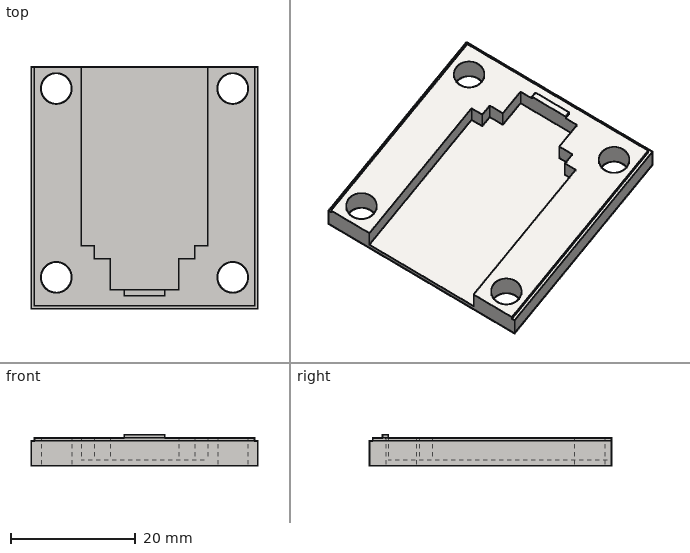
import cadquery as cq

width = 36.3
length = 38.8
base_height = 4.0
step = 0.5
face_height = base_height + step
front_y = -length / 2
back_y = length / 2

floor_thickness = 1.0
pocket_steps = [(20.35, 10.1), (16.15, 8.0), (11.0, 3.03)]

tab_width = 6.55
tab_depth = 0.97

hole_diameter = 4.9
hole_spacing_x = 28.3
front_hole_offset = 5.05
hole_spacing_y = 30.25


def block(block_width, start_y, end_y, bottom, top):
    """Box centred on X, spanning the given Y and Z ranges."""
    size_y = end_y - start_y
    return (
        cq.Workplane("XY")
        .box(block_width, size_y, top - bottom, centered=(True, False, False))
        .translate((0, start_y, bottom))
    )


result = block(width, front_y, back_y, 0, base_height)
result = result.union(block(width - 2 * step, front_y + step, back_y, base_height, face_height))

for pocket_width, wall_offset in pocket_steps:
    wall_y = front_y + wall_offset
    result = result.cut(block(pocket_width, wall_y, back_y, floor_thickness, face_height))

tab_back_y = front_y + pocket_steps[-1][1]
result = result.union(block(tab_width, tab_back_y - tab_depth, tab_back_y, face_height, face_height + step))

hole_center_y = front_y + front_hole_offset + hole_spacing_y / 2
holes = (
    cq.Workplane("XY")
    .center(0, hole_center_y)
    .rect(hole_spacing_x, hole_spacing_y, forConstruction=True)
    .vertices()
    .circle(hole_diameter / 2)
    .extrude(face_height)
)
result = result.cut(holes)